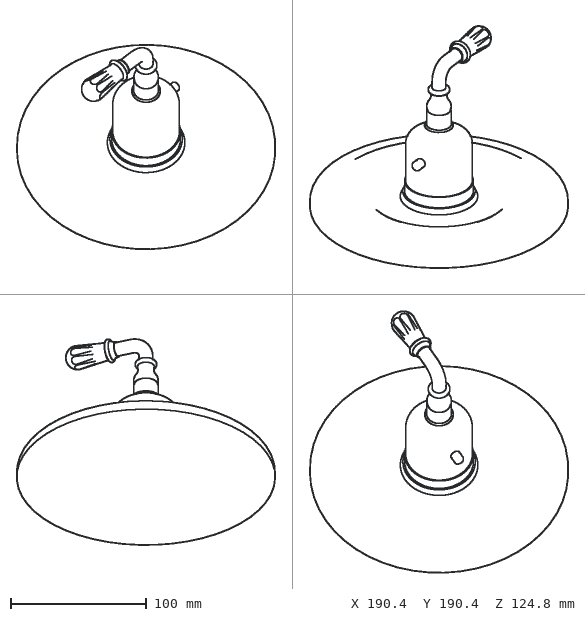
import cadquery as cq
import math

plate_radius = 95.2
rim_height = 3.6
rim_edge = (86.5, 9.7)
step_foot = (79.8, 11.0)
step_edge = (72.8, 12.2)
hump_foot = (66.3, 12.5)
hump_edge = (52.5, 10.5)
floor_radius = 47.8
floor_height = 8.0

collar_foot_radius = 28.5
collar_top_radius = 26.7
collar_top = 12.2
base_radius = 25.3
base_top = 21.0
body_radius = 24.5
body_top = 52.4
shoulder_radius = 16.5
shoulder_height = 62.1
lip_radius = 10.3
lip_round = 0.8
lip_bottom = 67.2
lip_top = 68.5

neck_radius = 9.1
neck_top = 78.9
groove_radius = 8.4
groove_height = 80.5
bulb_radius = 9.1
bulb_height = 83.8
bulb_top_radius = 7.8
bulb_top = 87.5
waist_radius = 6.1
waist_height = 94.3
flange_radius = 8.0
flange_bottom = 95.8
flange_thickness = 3.6

arm_radius = 5.1
bend_radius = 11.5
lever_height = 116.0
bend_start = lever_height - bend_radius

flare_start = 23.2
flare_start_radius = 6.0
ring_start = 27.0
flare_end_radius = 7.5
flare_hollow = 0.4
ring_thickness = 3.0
ring_radius = 8.8
grip_radius = 6.9
taper_start = 34.1
ball_radius = 9.0
ball_center = 54.1

flat_count = 8
flat_slope = 0.08
flat_length = 26.7
cutter_size = 11.5

pin_radius = 3.6
pin_end = 31.8
pin_height = 47.2
pin_round = 1.5


def make_plate():
    """Solid round plate with a rippled face and a sunken flat floor."""
    profile = (
        cq.Workplane("XZ")
        .lineTo(plate_radius, 0)
        .lineTo(plate_radius, rim_height)
        .tangentArcPoint(rim_edge, relative=False)
        .tangentArcPoint(step_foot, relative=False)
        .tangentArcPoint(step_edge, relative=False)
        .tangentArcPoint(hump_foot, relative=False)
        .tangentArcPoint(hump_edge, relative=False)
        .tangentArcPoint((floor_radius, floor_height), relative=False)
        .lineTo(0, floor_height)
        .close()
    )
    return profile.revolve(360, (0, 0), (0, 1))


def make_body():
    """Turned column from the plate floor up to the flange under the lever."""
    lip_middle_height = lip_top - lip_round
    lip_drop = lip_middle_height - lip_bottom
    lip_center = lip_radius - math.sqrt(lip_round**2 - lip_drop**2)
    flange_edge = flange_radius - flange_thickness / 2
    flange_middle_height = flange_bottom + flange_thickness / 2
    flange_top = flange_bottom + flange_thickness
    profile = (
        cq.Workplane("XZ")
        .moveTo(0, rim_height)
        .lineTo(collar_foot_radius, rim_height)
        .lineTo(collar_foot_radius, floor_height)
        .lineTo(collar_top_radius, collar_top)
        .lineTo(base_radius, collar_top)
        .lineTo(base_radius, base_top)
        .lineTo(body_radius, base_top)
        .lineTo(body_radius, body_top)
        .tangentArcPoint((shoulder_radius, shoulder_height), relative=False)
        .tangentArcPoint((lip_radius, lip_bottom), relative=False)
        .threePointArc((lip_center + lip_round, lip_middle_height), (lip_center, lip_top))
        .lineTo(neck_radius, lip_top)
        .lineTo(neck_radius, neck_top)
        .tangentArcPoint((groove_radius, groove_height), relative=False)
        .threePointArc((bulb_radius, bulb_height), (bulb_top_radius, bulb_top))
        .tangentArcPoint((waist_radius, waist_height), relative=False)
        .lineTo(waist_radius, flange_bottom)
        .lineTo(flange_edge, flange_bottom)
        .threePointArc((flange_radius, flange_middle_height), (flange_edge, flange_top))
        .lineTo(0, flange_top)
        .close()
    )
    return profile.revolve(360, (0, 0), (0, 1))


def make_arm():
    """Round rod that leaves the flange upward and bends toward -Y."""
    path = (
        cq.Workplane("YZ")
        .moveTo(0, flange_bottom)
        .lineTo(0, bend_start)
        .radiusArc((-bend_radius, lever_height), -bend_radius)
        .lineTo(-ring_start, lever_height)
    )
    return cq.Workplane("XY", origin=(0, 0, flange_bottom)).circle(arm_radius).sweep(path)


def make_grip():
    """Flared ring, tapered handle and ball end, with sloping flats around it."""
    ring_edge = ring_radius - ring_thickness / 2
    ring_end = ring_start + ring_thickness
    reach = ball_center - taper_start
    taper_angle = math.atan2(grip_radius, reach)
    tangent_angle = math.asin(ball_radius / math.hypot(reach, grip_radius)) - taper_angle
    ball_start = ball_center - ball_radius * math.sin(tangent_angle)
    ball_start_radius = ball_radius * math.cos(tangent_angle)

    lever_plane = cq.Plane(origin=(0, 0, lever_height), xDir=(0, -1, 0), normal=(1, 0, 0))
    flare_middle = (
        (flare_start + ring_start) / 2 + flare_hollow,
        (flare_start_radius + flare_end_radius) / 2 - flare_hollow,
    )
    ball_middle = ball_radius * math.sqrt(0.5)
    grip = (
        cq.Workplane(lever_plane)
        .moveTo(flare_start, 0)
        .lineTo(flare_start, flare_start_radius)
        .threePointArc(flare_middle, (ring_start, flare_end_radius))
        .lineTo(ring_start, ring_edge)
        .threePointArc((ring_start + ring_thickness / 2, ring_radius), (ring_end, ring_edge))
        .lineTo(ring_end, grip_radius)
        .lineTo(taper_start, grip_radius)
        .lineTo(ball_start, ball_start_radius)
        .threePointArc((ball_center + ball_middle, ball_middle), (ball_center + ball_radius, 0))
        .close()
        .revolve(360, (0, 0), (1, 0))
    )

    flat_end = taper_start + flat_length
    cutter = (
        cq.Workplane(lever_plane)
        .moveTo(taper_start, grip_radius)
        .lineTo(flat_end, grip_radius + flat_slope * flat_length)
        .lineTo(flat_end, grip_radius + cutter_size)
        .lineTo(taper_start, grip_radius + cutter_size)
        .close()
        .extrude(cutter_size / 2, both=True)
    )
    axis_start = (0, 0, lever_height)
    axis_end = (0, -1, lever_height)
    for index in range(flat_count):
        grip = grip.cut(cutter.rotate(axis_start, axis_end, index * 360 / flat_count))
    return grip


def make_pin():
    """Round stop pin pointing toward +Y with a rounded tip."""
    pin = cq.Workplane("XZ", origin=(0, 0, pin_height)).circle(pin_radius).extrude(-pin_end)
    return pin.faces(">Y").edges().fillet(pin_round)


result = make_plate().union(make_body()).union(make_arm()).union(make_grip()).union(make_pin())